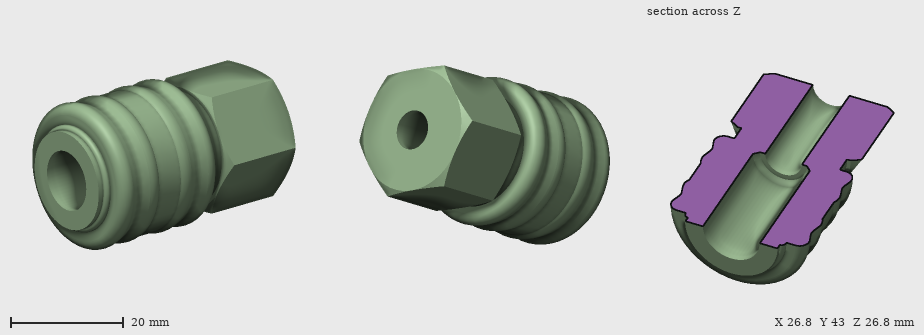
import cadquery as cq
import math

total_length = 43.0

hex_across_flats = 22.0
hex_length = 16.0
hex_chamfer_angle = 30.0

nose_radius = 9.0
nose_length = 1.08
collar_radius = 9.8
neck_radius = 10.3

sleeve_start = 2.05
sleeve_end = 24.1
sleeve_radius = 13.395
band_radius = 13.0
edge_round = 1.85
groove_round = 1.85
groove_radius = 12.75
groove_y = 6.4
ridge_round = 2.8
ridge_y = 9.15

socket_radius = 5.5
socket_floor_radius = 4.55
socket_depth = 21.5
passage_radius = 3.53


def cylinder(radius, start, end):
    """Cylinder on the Y axis between two Y positions."""
    return cq.Workplane("XZ", origin=(0, start, 0)).circle(radius).extrude(start - end)


def revolve_about_y(profile):
    """Turn a profile drawn as (radius, Y) about the Y axis."""
    return profile.close().revolve(360, (0, 0, 0), (0, 1, 0))


def on_arc(center, radius, angle):
    """Point on a circle; the angle is measured from the outward radial direction toward +Y."""
    return (center[0] + radius * math.cos(angle), center[1] + radius * math.sin(angle))


def flank_angle(crest_center, crest_round, valley_center, valley_round):
    """Slope of the straight flank tangent to a convex crest and a concave valley."""
    radial_gap = valley_center[0] - crest_center[0]
    axial_gap = abs(valley_center[1] - crest_center[1])
    distance = math.hypot(radial_gap, axial_gap)
    return math.atan2(axial_gap, radial_gap) - math.acos((crest_round + valley_round) / distance)


def make_grip():
    """Front grip: rounded edge, shallow groove and ridge, joined by tangent flanks."""
    edge = (sleeve_radius - edge_round, sleeve_start + edge_round)
    groove = (groove_radius + groove_round, groove_y)
    ridge = (sleeve_radius - ridge_round, ridge_y)
    edge_flank = flank_angle(edge, edge_round, groove, groove_round)
    ridge_flank = flank_angle(ridge, ridge_round, groove, groove_round)
    ridge_end = math.acos((band_radius - ridge[0]) / ridge_round)
    profile = (
        cq.Workplane("XY")
        .moveTo(0, sleeve_start)
        .lineTo(edge[0], sleeve_start)
        .threePointArc(on_arc(edge, edge_round, 0), on_arc(edge, edge_round, edge_flank))
        .lineTo(*on_arc(groove, groove_round, math.pi + edge_flank))
        .threePointArc((groove_radius, groove_y), on_arc(groove, groove_round, math.pi - ridge_flank))
        .lineTo(*on_arc(ridge, ridge_round, -ridge_flank))
        .threePointArc(on_arc(ridge, ridge_round, 0), on_arc(ridge, ridge_round, ridge_end))
        .lineTo(0, ridge_y + ridge_round * math.sin(ridge_end))
    )
    return revolve_about_y(profile)


def make_sleeve():
    """Front grip, its mirror image and the band between them."""
    grip = make_grip()
    middle = (sleeve_start + sleeve_end) / 2
    rear_grip = grip.mirror("XZ", (0, middle, 0))
    band = cylinder(band_radius, ridge_y, 2 * middle - ridge_y)
    return band.union(grip).union(rear_grip)


def make_nose():
    """Plain nose and the round-edged collar behind it."""
    collar_round = collar_radius - nose_radius
    collar = cylinder(collar_radius, nose_length, groove_y).faces("<Y").edges().fillet(collar_round)
    return cylinder(nose_radius, 0, groove_y).union(collar)


def make_hexagon():
    """Hexagon whose corners are cut at both ends by cones starting at the inscribed circle."""
    start = total_length - hex_length
    flat_radius = hex_across_flats / 2
    corner_radius = flat_radius / math.cos(math.pi / 6)
    chamfer_depth = (corner_radius - flat_radius) * math.tan(math.radians(hex_chamfer_angle))
    prism = (
        cq.Workplane("XZ", origin=(0, start, 0))
        .polygon(6, 2 * corner_radius)
        .extrude(-hex_length)
    )
    envelope = (
        cq.Workplane("XY")
        .moveTo(0, start)
        .lineTo(flat_radius, start)
        .lineTo(corner_radius, start + chamfer_depth)
        .lineTo(corner_radius, total_length - chamfer_depth)
        .lineTo(flat_radius, total_length)
        .lineTo(0, total_length)
    )
    return prism.intersect(revolve_about_y(envelope))


def make_bore():
    """Plug socket with a 45 degree floor edge, and the passage running through."""
    floor_y = socket_depth + socket_radius - socket_floor_radius
    profile = (
        cq.Workplane("XY")
        .lineTo(socket_radius, 0)
        .lineTo(socket_radius, socket_depth)
        .lineTo(socket_floor_radius, floor_y)
        .lineTo(passage_radius, floor_y)
        .lineTo(passage_radius, total_length)
        .lineTo(0, total_length)
    )
    return revolve_about_y(profile)


neck = cylinder(neck_radius, groove_y, total_length - hex_length)
body = make_sleeve().union(make_nose()).union(neck).union(make_hexagon())
result = body.cut(make_bore())